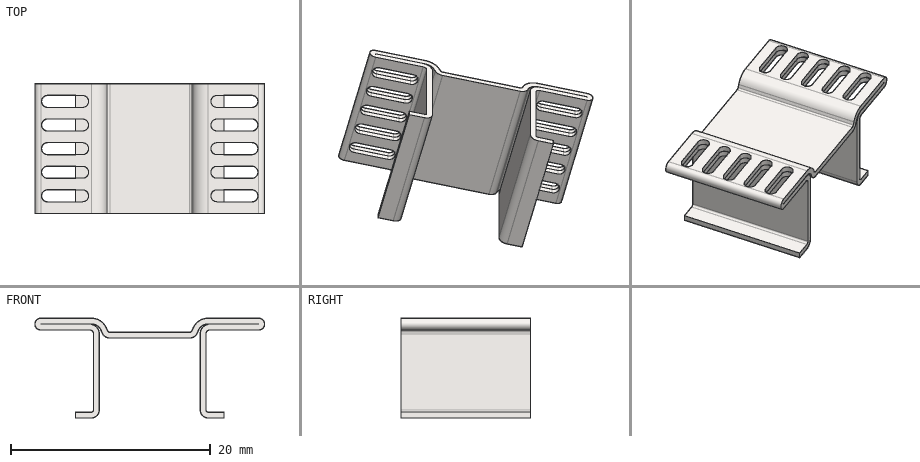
import cadquery as cq
import math

length_x = 23.0
width_y = 13.0
height_z = 10.0

sheet = 0.6
seam_gap = 0.005

web_drop = 1.4
slope_angle = 66.0
shoulder_x = 5.82
shoulder_radius = 1.01
valley_radius = 0.23

leg_inner_x = 5.04
knee_radius = 0.37
foot_radius = 0.23
foot_end_x = 7.43

slot_count = 5
slot_width = width_y / (2 * slot_count + 1)
slot_pitch = 2 * slot_width
slot_inner_x = 6.12
slot_outer_x = 10.8

fold_height = 2 * sheet + seam_gap
fold_x = length_x / 2 - fold_height / 2
fold_z = height_z - fold_height / 2
shoulder_z = height_z - sheet - shoulder_radius
valley_z = height_z - web_drop + valley_radius
leg_outer_x = leg_inner_x + sheet
knee_x = leg_outer_x + knee_radius
knee_z = height_z - fold_height - knee_radius
foot_x = leg_outer_x + foot_radius
foot_z = sheet + foot_radius

slope = math.radians(slope_angle)
facing_radii = shoulder_radius + sheet + valley_radius
centre_rise = valley_z - shoulder_z
valley_x = shoulder_x - (facing_radii - centre_rise * math.cos(slope)) / math.sin(slope)

bends = [
    (valley_x, valley_z, valley_radius, 270, 270 + slope_angle),
    (shoulder_x, shoulder_z, shoulder_radius, 90 + slope_angle, 90),
    (fold_x, fold_z, seam_gap / 2, 90, -90),
    (knee_x, knee_z, knee_radius, 90, 180),
    (foot_x, foot_z, foot_radius, 180, 270),
]


def polar_point(centre_x, centre_z, radius, angle):
    """Point at an angle in degrees on a circle in the XZ plane."""
    turn = math.radians(angle)
    return (centre_x + radius * math.cos(turn), centre_z + radius * math.sin(turn))


def add_bend(outline, bend, left_face, backwards):
    """Run a straight up to a bend and follow the bend on one face of the strip."""
    centre_x, centre_z, inner_radius, start, end = bend
    centre_on_left = end > start
    radius = inner_radius if left_face == centre_on_left else inner_radius + sheet
    if backwards:
        start, end = end, start
    first = polar_point(centre_x, centre_z, radius, start)
    middle = polar_point(centre_x, centre_z, radius, (start + end) / 2)
    last = polar_point(centre_x, centre_z, radius, end)
    return outline.lineTo(*first).threePointArc(middle, last)


def make_half_strip():
    """Bent strip from the middle of the web to the foot on the +X side."""
    web_top = height_z - web_drop
    outline = cq.Workplane("XZ").moveTo(0, web_top)
    for bend in bends:
        outline = add_bend(outline, bend, left_face=True, backwards=False)
    outline = outline.lineTo(foot_end_x, sheet).lineTo(foot_end_x, 0)
    for bend in reversed(bends):
        outline = add_bend(outline, bend, left_face=False, backwards=True)
    outline = outline.lineTo(0, web_top - sheet).close()
    return outline.extrude(width_y / 2, both=True)


def make_slots():
    """Row of slots through the +X flange."""
    return (
        cq.Workplane("XY", origin=((slot_inner_x + slot_outer_x) / 2, 0, height_z))
        .rarray(0.23, slot_pitch, 1, slot_count)
        .slot2D(slot_outer_x - slot_inner_x, slot_width)
        .extrude(-fold_height)
    )


right_half = make_half_strip().cut(make_slots())
result = right_half.union(right_half.mirror("YZ")).clean()